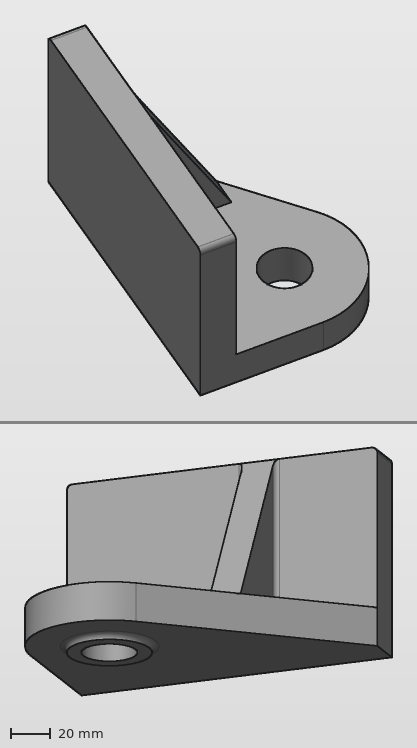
import cadquery as cq
import math

length = 168.6
plate_height = 105.7
thickness = 20.4
corner_radius = 3.0

lug_radius = 42.7
lug_depth = 112.3
hole_radius = 14.2
hole_x = length - lug_radius
hole_y = lug_depth - lug_radius

boss_radius = 21.5
boss_height = 3.4

rib_left = 55.8
rib_width = 16.9
rib_fillet = 2.5

center_distance = math.hypot(hole_x, hole_y - thickness)
center_angle = math.atan2(hole_y - thickness, hole_x)
slope_angle = center_angle + math.asin(lug_radius / center_distance)


def round_end_point(angle):
    """Point on the lug's round end at the given angle from +X."""
    return (hole_x + lug_radius * math.cos(angle), hole_y + lug_radius * math.sin(angle))


def make_plate():
    plate = cq.Workplane("XY").box(length, thickness, plate_height, centered=False)
    return plate.edges("|Y and >Z").fillet(corner_radius)


def make_lug():
    tangent_angle = slope_angle + math.pi / 2
    return (
        cq.Workplane("XY")
        .moveTo(0, thickness)
        .lineTo(*round_end_point(tangent_angle))
        .threePointArc(round_end_point(tangent_angle / 2), round_end_point(0))
        .lineTo(length, 0)
        .lineTo(0, 0)
        .close()
        .extrude(thickness)
    )


def rib_section(left, right):
    """Triangular wedge between two X positions, from the lug up to the top of the plate."""
    foot_end = thickness + rib_left * math.tan(slope_angle)
    return (
        cq.Workplane("YZ", origin=(left, 0, 0))
        .moveTo(thickness, thickness)
        .lineTo(foot_end, thickness)
        .lineTo(thickness, plate_height)
        .close()
        .extrude(right - left)
    )


def make_rib():
    """Rib that flares into the plate with a concave blend on each side."""
    rib_right = rib_left + rib_width
    rib = rib_section(rib_left, rib_right)
    flare = rib_section(rib_left - rib_fillet, rib_right + rib_fillet)
    blend_y = thickness + rib_fillet
    profile = (
        cq.Workplane("XY")
        .moveTo(rib_left - rib_fillet, thickness)
        .radiusArc((rib_left, blend_y), -rib_fillet)
        .lineTo(rib_right, blend_y)
        .radiusArc((rib_right + rib_fillet, thickness), -rib_fillet)
        .close()
        .extrude(plate_height)
    )
    return rib.union(flare.intersect(profile))


def make_boss():
    """Boss whose concave side sweeps into the underside of the lug."""
    return (
        cq.Workplane("XZ", origin=(hole_x, hole_y, 0))
        .moveTo(0, 0)
        .lineTo(boss_radius + boss_height, 0)
        .radiusArc((boss_radius, -boss_height), -boss_height)
        .lineTo(0, -boss_height)
        .close()
        .revolve(360, (0, 0, 0), (0, 1, 0))
    )


hole = (
    cq.Workplane("XY", origin=(hole_x, hole_y, -boss_height))
    .circle(hole_radius)
    .extrude(boss_height + thickness)
)

result = make_plate().union(make_lug()).union(make_rib()).union(make_boss()).cut(hole)